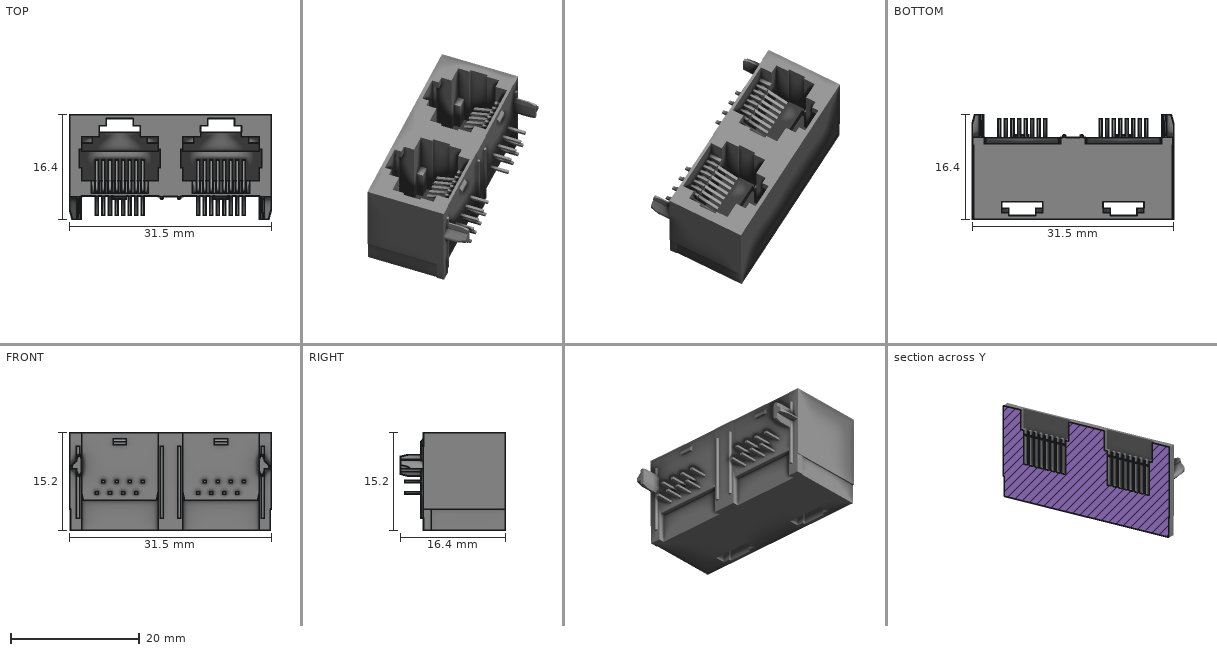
import cadquery as cq
import math

WIDTH = 31.5
BODY_DEPTH = 12.82
HEIGHT = 15.25
JACK_CENTERS = (-7.9, 7.9)

SIDE_STEP_HEIGHT = 3.3
LEG_INSET = 0.13
LEG_DEPTH = 1.23
REAR_INSET = 0.25

PANEL_WIDTH = 11.95
PANEL_RECESS = 0.05
LOWER_RECESS = 1.0
LOWER_RECESS_HEIGHT = 4.72
CHIN_HEIGHT = 1.15
CHIN_INSET = 0.25

MAIN_WIDTH = 11.95
LATCH_WIDTH = 6.35
MAIN_BACK = 9.35
LATCH_BACK = 11.05
CHANNEL_WIDTH = 8.95
CHANNEL_BOTTOM = 0.55
CAVITY_BOTTOM = 2.45
LATCH_NOTCH_WIDTH = 4.15
LATCH_NOTCH_BACK = 12.2
GROOVE_WIDTH = 12.65
GROOVE_BOTTOM = 4.55
GROOVE_BACK = 7.4
FRONT_FLOOR = 5.35
REAR_FLOOR = 3.78
FLOOR_STEP_Y = 7.05
THROUGH_SLOT_Y = 10.08
LATCH_LIP = 1.35
LATCH_UNDERCUT = 0.7

STOP_WIDTH = 1.67
STOP_DEPTH = 1.0
STOP_TOP = 8.57
STOP_CHAMFER = 0.1

CONTACT_COUNT = 8
CONTACT_SPAN = 7.15
CONTACT_WIDTH = 0.47
CONTACT_THICKNESS = 0.25
CONTACT_BACK = 0.6
CONTACT_BEND = 0.7
CONTACT_CREST = 11.35
CONTACT_TIP_Y = 5.73
CONTACT_STEEP_ANGLE = 35.0
CONTACT_FLAT_ANGLE = 15.0
CONTACT_SWEEP = 4.0
COMB_TOP = 11.97
SLOT_WIDTH = 0.65
SLOT_FLOOR = 6.3
PIN_LENGTH = 2.93
PIN_HEIGHT = 0.38
PIN_ROWS = (5.83, 7.62)

TAB_WIDTH = 2.08
TAB_BOTTOM = 13.32
TAB_SHOULDER = 13.83
TAB_TOP = 14.27
STANDOFF = 0.38
RIB_CENTERS = (1.35, 14.43)
RIB_WIDTH = 0.5
RIB_NOSE = 0.235
RIB_BOTTOM = 1.9
RIB_TOP = 13.15

CLIP_LENGTH = 3.55
CLIP_INNER = 13.9
CLIP_OUTER = 14.62
CLIP_FIN_INSET = 0.25
CLIP_TOP = 11.8
CLIP_BOTTOM = 8.47
CLIP_FIN_HEIGHT = 0.7
BARB_BOTTOM = 9.6
BARB_EDGE_TOP = 10.0
BARB_RAMP_TOP = 10.9
BARB_ROUND_INSET = 0.15
BARB_MIDDLE_INSET = 0.047
CLIP_SIDE_TAPER_START = 2.08
CLIP_SIDE_TAPER = 0.4
CLIP_END_TAPER_START = 2.43
CLIP_END_TAPER = 0.28

EMBED = 0.25


def centered_box(x, width, y0, y1, z0, z1):
    """Box centred on x, spanning y0 to y1 and z0 to z1."""
    block = cq.Workplane("XY").box(width, y1 - y0, z1 - z0, centered=(True, False, False))
    return block.translate((x, y0, z0))


def yz_prism(points, x, width):
    """Prism along X, centred on x, from a (Y, Z) outline."""
    return cq.Workplane("YZ").polyline(points).close().extrude(width / 2, both=True).translate((x, 0, 0))


def housing_block():
    block = centered_box(0, WIDTH, 0, BODY_DEPTH, SIDE_STEP_HEIGHT, HEIGHT)
    leg_width = WIDTH - 2 * LEG_INSET
    rear_width = WIDTH - 2 * REAR_INSET
    block = block.union(centered_box(0, leg_width, 0, LEG_DEPTH, 0, SIDE_STEP_HEIGHT))
    return block.union(centered_box(0, rear_width, LEG_DEPTH, BODY_DEPTH, 0, SIDE_STEP_HEIGHT))


def panel_recess(x):
    """Shallow panel recess with a deeper one below its tapered chin."""
    half = PANEL_WIDTH / 2
    chin_half = half - CHIN_INSET
    chin_top = LOWER_RECESS_HEIGHT + CHIN_HEIGHT
    outline = [
        (-half, 0), (half, 0), (half, chin_top), (chin_half, LOWER_RECESS_HEIGHT),
        (-chin_half, LOWER_RECESS_HEIGHT), (-half, chin_top),
    ]
    lower = cq.Workplane("XZ").polyline(outline).close().extrude(-LOWER_RECESS).translate((x, 0, 0))
    return lower.union(centered_box(x, PANEL_WIDTH, 0, PANEL_RECESS, 0, HEIGHT))


def cavity(x):
    """Stepped plug mouth; each pocket is (width, Y from, Y to, Z from, Z to)."""
    under_lip = HEIGHT - LATCH_LIP
    pockets = (
        (CHANNEL_WIDTH, CHANNEL_BOTTOM, CAVITY_BOTTOM, COMB_TOP, HEIGHT),
        (MAIN_WIDTH, CAVITY_BOTTOM, FLOOR_STEP_Y, FRONT_FLOOR, HEIGHT),
        (GROOVE_WIDTH, GROOVE_BOTTOM, GROOVE_BACK, FRONT_FLOOR, HEIGHT),
        (MAIN_WIDTH, FLOOR_STEP_Y, MAIN_BACK, REAR_FLOOR, HEIGHT),
        (LATCH_WIDTH, MAIN_BACK, THROUGH_SLOT_Y, REAR_FLOOR, HEIGHT),
        (LATCH_WIDTH, THROUGH_SLOT_Y, LATCH_BACK, 0, HEIGHT),
        (LATCH_WIDTH, LATCH_BACK, LATCH_BACK + LATCH_UNDERCUT, 0, under_lip),
        (LATCH_NOTCH_WIDTH, LATCH_BACK, LATCH_NOTCH_BACK, 0, HEIGHT),
    )
    void = cq.Workplane("XY")
    for width, y0, y1, z0, z1 in pockets:
        void = void.union(centered_box(x, width, y0, y1, z0, z1))
    return void


def plug_stops(x):
    front = MAIN_BACK - STOP_DEPTH
    outline = [
        (front, REAR_FLOOR - EMBED), (front, STOP_TOP - STOP_CHAMFER), (front + STOP_CHAMFER, STOP_TOP),
        (MAIN_BACK + EMBED, STOP_TOP), (MAIN_BACK + EMBED, REAR_FLOOR - EMBED),
    ]
    offset = (MAIN_WIDTH - STOP_WIDTH) / 2
    return yz_prism(outline, x - offset, STOP_WIDTH).union(yz_prism(outline, x + offset, STOP_WIDTH))


def contact_positions(jack_x):
    first = jack_x - CONTACT_SPAN / 2
    pitch = CONTACT_SPAN / (CONTACT_COUNT - 1)
    return [first + i * pitch for i in range(CONTACT_COUNT)]


def polar(center, radius, angle):
    return (center[0] + radius * math.cos(angle), center[1] + radius * math.sin(angle))


def contact(x):
    """Flat spring: up from its slot, over a round bend, then down a flattening slope into the cavity."""
    steep = math.pi / 2 - math.radians(CONTACT_STEEP_ANGLE)
    flat = math.pi / 2 - math.radians(CONTACT_FLAT_ANGLE)
    root = SLOT_FLOOR - EMBED
    front = CONTACT_BACK + CONTACT_THICKNESS
    bend_center = (CONTACT_BACK + CONTACT_BEND, CONTACT_CREST - CONTACT_BEND)
    bend_middle = (math.pi + steep) / 2
    bend_inner = CONTACT_BEND - CONTACT_THICKNESS

    sweep_center = polar(bend_center, CONTACT_BEND + CONTACT_SWEEP, steep)
    sweep_middle = math.pi + (steep + flat) / 2
    sweep_end = math.pi + flat
    sweep_outer = CONTACT_SWEEP + CONTACT_THICKNESS
    upper_end = polar(sweep_center, CONTACT_SWEEP, sweep_end)
    lower_end = polar(sweep_center, sweep_outer, sweep_end)
    tip_length = (CONTACT_TIP_Y - upper_end[0]) / math.sin(flat)
    tip_direction = flat - math.pi / 2

    spring = (
        cq.Workplane("YZ")
        .moveTo(CONTACT_BACK, root)
        .lineTo(CONTACT_BACK, bend_center[1])
        .threePointArc(polar(bend_center, CONTACT_BEND, bend_middle), polar(bend_center, CONTACT_BEND, steep))
        .threePointArc(polar(sweep_center, CONTACT_SWEEP, sweep_middle), upper_end)
        .lineTo(*polar(upper_end, tip_length, tip_direction))
        .lineTo(*polar(lower_end, tip_length, tip_direction))
        .lineTo(*lower_end)
        .threePointArc(polar(sweep_center, sweep_outer, sweep_middle), polar(bend_center, bend_inner, steep))
        .threePointArc(polar(bend_center, bend_inner, bend_middle), (front, bend_center[1]))
        .lineTo(front, root)
        .close()
        .extrude(CONTACT_WIDTH / 2, both=True)
    )
    return spring.translate((x, 0, 0))


def pin(x, z):
    half = PIN_HEIGHT / 2
    return centered_box(x, CONTACT_WIDTH, -PIN_LENGTH, EMBED, z - half, z + half)


def latch_tab(x):
    outline = [
        (EMBED, TAB_BOTTOM), (-STANDOFF, TAB_BOTTOM), (-STANDOFF, TAB_SHOULDER),
        (0, TAB_TOP), (EMBED, TAB_TOP),
    ]
    return yz_prism(outline, x, TAB_WIDTH)


def standoff_rib(x):
    """Round-nosed rib standing on a strip."""
    half = RIB_WIDTH / 2
    return (
        cq.Workplane("XY", origin=(x, 0, RIB_BOTTOM))
        .moveTo(-half, EMBED)
        .lineTo(-half, RIB_NOSE - STANDOFF)
        .threePointArc((0, -STANDOFF), (half, RIB_NOSE - STANDOFF))
        .lineTo(half, EMBED)
        .close()
        .extrude(RIB_TOP - RIB_BOTTOM)
    )


def board_clip():
    """Clip of the +X side: barbed finned section, tapered at its free end."""
    tip = WIDTH / 2
    fin_top = CLIP_TOP - CLIP_FIN_HEIGHT
    fin_bottom = CLIP_BOTTOM + CLIP_FIN_HEIGHT
    fin_outer = CLIP_OUTER - CLIP_FIN_INSET
    fin_inner = CLIP_INNER + CLIP_FIN_INSET
    barb_corner = (tip - BARB_ROUND_INSET, BARB_EDGE_TOP)
    barb_middle = (tip - BARB_MIDDLE_INSET, (BARB_EDGE_TOP + BARB_BOTTOM) / 2)
    bar = (
        cq.Workplane("XZ", origin=(0, EMBED, 0))
        .moveTo(tip, BARB_BOTTOM)
        .threePointArc(barb_middle, barb_corner)
        .lineTo(CLIP_OUTER, BARB_RAMP_TOP)
        .lineTo(CLIP_OUTER, fin_top)
        .lineTo(fin_outer, CLIP_TOP)
        .lineTo(fin_inner, CLIP_TOP)
        .lineTo(CLIP_INNER, fin_top)
        .lineTo(CLIP_INNER, fin_bottom)
        .lineTo(fin_inner, CLIP_BOTTOM)
        .lineTo(fin_outer, CLIP_BOTTOM)
        .lineTo(CLIP_OUTER, fin_bottom)
        .lineTo(CLIP_OUTER, BARB_BOTTOM)
        .close()
        .extrude(CLIP_LENGTH + EMBED)
    )
    side_limit = (
        cq.Workplane("XY")
        .polyline([
            (0, EMBED), (tip, EMBED), (tip, -CLIP_SIDE_TAPER_START),
            (tip - CLIP_SIDE_TAPER, -CLIP_LENGTH), (0, -CLIP_LENGTH),
        ])
        .close()
        .extrude(HEIGHT)
    )
    end_limit = yz_prism(
        [
            (EMBED, CLIP_TOP), (-CLIP_END_TAPER_START, CLIP_TOP), (-CLIP_LENGTH, CLIP_TOP - CLIP_END_TAPER),
            (-CLIP_LENGTH, CLIP_BOTTOM + CLIP_END_TAPER), (-CLIP_END_TAPER_START, CLIP_BOTTOM),
            (EMBED, CLIP_BOTTOM),
        ],
        0, 2 * WIDTH,
    )
    return bar.intersect(side_limit).intersect(end_limit)


part = housing_block()

for jack_x in JACK_CENTERS:
    part = part.cut(panel_recess(jack_x)).cut(cavity(jack_x))
    part = part.union(plug_stops(jack_x)).union(latch_tab(jack_x))
    for i, x in enumerate(contact_positions(jack_x)):
        part = part.cut(centered_box(x, SLOT_WIDTH, CHANNEL_BOTTOM, CAVITY_BOTTOM, SLOT_FLOOR, HEIGHT))
        part = part.union(contact(x)).union(pin(x, PIN_ROWS[i % 2]))

for rib_x in RIB_CENTERS:
    part = part.union(standoff_rib(rib_x)).union(standoff_rib(-rib_x))

clip = board_clip()
part = part.union(clip).union(clip.mirror("YZ"))

result = part